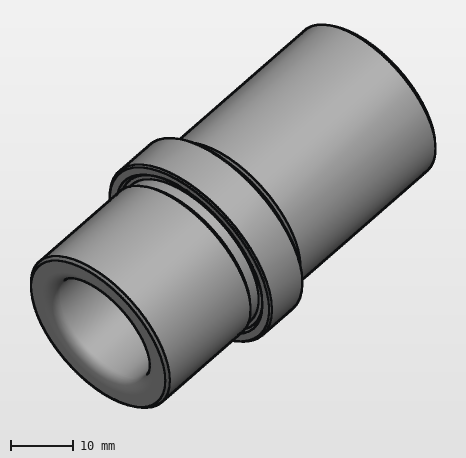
import cadquery as cq

total_length = 65.0
front_length = 22.0
collar_width = 8.0
groove_width = 2.0

body_diameter = 29.95
collar_diameter = 35.0
groove_diameter = 29.0
bore_diameter = 20.0
undercut_diameter = 31.45

end_chamfer = 0.5
collar_chamfer = 0.3
undercut_depth = 0.45
bore_mouth_radius = 2.0

body_radius = body_diameter / 2
collar_radius = collar_diameter / 2
groove_radius = groove_diameter / 2
undercut_radius = undercut_diameter / 2
undercut_floor_radius = undercut_radius - undercut_depth
groove_chamfer = body_radius - groove_radius

front_end = -total_length / 2
rear_end = total_length / 2
collar_front = front_end + front_length
collar_rear = collar_front + collar_width
groove_front = collar_front - groove_width
groove_rear = collar_rear + groove_width


def turned_body():
    """Solid bush: two plain journals, relief grooves and an undercut collar, turned about Y."""
    points = [
        (0, front_end),
        (body_radius - end_chamfer, front_end),
        (body_radius, front_end + end_chamfer),
        (body_radius, groove_front),
        (groove_radius, groove_front + groove_chamfer),
        (groove_radius, collar_front + undercut_depth),
        (undercut_floor_radius, collar_front + undercut_depth),
        (undercut_radius, collar_front),
        (collar_radius - collar_chamfer, collar_front),
        (collar_radius, collar_front + collar_chamfer),
        (collar_radius, collar_rear - collar_chamfer),
        (collar_radius - collar_chamfer, collar_rear),
        (undercut_radius, collar_rear),
        (undercut_floor_radius, collar_rear - undercut_depth),
        (groove_radius, collar_rear - undercut_depth),
        (groove_radius, groove_rear - groove_chamfer),
        (body_radius, groove_rear),
        (body_radius, rear_end - end_chamfer),
        (body_radius - end_chamfer, rear_end),
        (0, rear_end),
    ]
    return cq.Workplane("XY").polyline(points).close().revolve(360, (0, 0, 0), (0, 1, 0))


def cut_bore(body):
    """Through bore with a rounded mouth at the front end."""
    bored = body.faces("<Y").workplane(origin=(0, front_end, 0)).hole(bore_diameter)
    mouth_box = cq.selectors.BoxSelector(
        (-body_radius, front_end - bore_mouth_radius, -body_radius),
        (body_radius, front_end + end_chamfer / 2, body_radius),
    )
    mouth_edge = bored.edges(mouth_box).edges(cq.selectors.RadiusNthSelector(0))
    return mouth_edge.fillet(bore_mouth_radius)


result = cut_bore(turned_body())